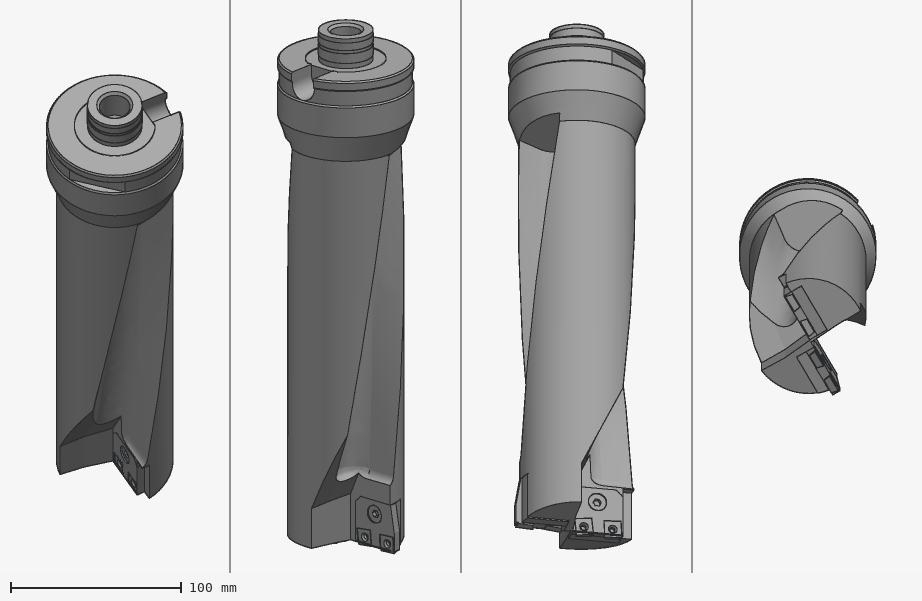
import cadquery as cq
import math

overall_length = 320.0
flange_top = 302.0
flange_bottom = 295.7
collar_top = 286.7
collar_bottom = 267.2
taper_bottom = 250.2
pocket_top = 30.7

collar_radius = 40.0
groove_radius = 39.0
rim_chamfer = 1.0
body_radius = 34.2
stub_radius = 32.3 / 2
stub_end_radius = 32.0 / 2
stub_groove_radius = 31.7 / 2
stub_land_bottom = 304.5
stub_land_top = 317.5
stub_groove_bottom = 310.7
stub_groove_top = 312.5
bore_radius = 9.0
bore_mouth_radius = 10.5
bore_mouth_depth = 1.5
bore_depth = 19.2
bore_point_angle = 118.0
recess_radius = 23.7
recess_depth = 0.5
key_slot_width = 17.0
key_slot_start = 20.8
key_slot_bottom = 286.7
side_flat_distance = 35.2
side_flat_angle = -45.0

ridge_level = 1.5
roof_rise = 4.0

front_flute_bottom = 31.7
rear_flute_bottom = 42.2
flute_top = 259.2
flute_twist_rate = 0.2719
flute_end_level = 244.5
flute_end_tilt = 13.5
flute_end_lean = 9.0
flute_end_radius = 6.5
front_flute_wall_outer = (-41.5, 2.2)
rear_flute_wall_outer = (-41.5, -1.3)
flute_wall_inner = (-20.5, 4.0)
flute_arc_middle = (-7.0, -1.0)
flute_floor_inner = (-5.8, -14.7)
front_flute_floor_outer = (-18.5, -36.8)
rear_flute_floor_outer = (-21.0, -35.5)

front_wall_slope = 0.49
rear_wall_slope = 0.42
pocket_bend = 18.0
front_floor = 0.0
front_relief_floor = 4.8
front_wall_inner = -2.4
front_wall_outer = -4.5
rear_floor = 0.0
rear_wall_inner = 3.8
rear_wall_outer = 3.0

cartridge_width = 30.0
cartridge_depth = 11.8
cartridge_bottom = 2.2
cartridge_lip_depth = 4.8
cartridge_chamfer = 4.0
front_cartridge_start = -2.2
rear_cartridge_start = 7.5
rear_taper_width = 3.0
rear_taper_height = 17.0
insert_size = 10.2
insert_depth = 4.0
insert_recess = 0.5
insert_relief = 10.0
insert_mouth_radius = 2.5
insert_hole_radius = 1.5
insert_mouth_depth = 1.3
insert_hole_depth = 3.2
inner_insert_offset = 6.7
inner_insert_tilt = 6.0
outer_insert_offset = 24.0
outer_insert_tilt = 3.0

screw_offset = 14.7
screw_level = 22.0
screw_head_radius = 5.5
screw_head_sink = 1.0
screw_head_height = 3.8
screw_shank_radius = 2.5
screw_length = 20.8
socket_size = 4.8
socket_depth = 2.5

clearance = 48.0
below_tip = -3.2


def turn(shape, angle):
    """Turn a shape about the drill axis."""
    return shape.rotate((0, 0, 0), (0, 0, 1), angle)


def half_turn(shape):
    return turn(shape, 180)


def extrude_back(profile, start, depth):
    """Extrude a profile given in X and Z from y = start toward +Y."""
    return profile.extrude(-depth).translate((0, start, 0))


def turned_blank():
    outline = [
        (0, 0),
        (body_radius, 0),
        (body_radius, taper_bottom),
        (collar_radius, collar_bottom),
        (collar_radius, collar_top - rim_chamfer),
        (groove_radius, collar_top),
        (groove_radius, flange_bottom),
        (collar_radius, flange_bottom + rim_chamfer),
        (collar_radius, flange_top - rim_chamfer),
        (collar_radius - rim_chamfer, flange_top),
        (stub_end_radius, flange_top),
        (stub_end_radius, stub_land_bottom),
        (stub_radius, stub_land_bottom),
        (stub_radius, stub_groove_bottom),
        (stub_groove_radius, stub_groove_bottom),
        (stub_groove_radius, stub_groove_top),
        (stub_radius, stub_groove_top),
        (stub_radius, stub_land_top),
        (stub_end_radius, stub_land_top),
        (stub_end_radius, overall_length),
        (0, overall_length),
    ]
    return cq.Workplane("XZ").polyline(outline).close().revolve()


def stub_bore():
    floor = overall_length - bore_depth
    point_depth = bore_radius / math.tan(math.radians(bore_point_angle / 2))
    outline = [
        (0, overall_length),
        (bore_mouth_radius, overall_length),
        (bore_radius, overall_length - bore_mouth_depth),
        (bore_radius, floor),
        (0, floor - point_depth),
    ]
    return cq.Workplane("XZ").polyline(outline).close().revolve()


def face_recess():
    """Shallow ring around the stub, cut straight where the key slot starts."""
    ring = (
        cq.Workplane("XY", origin=(0, 0, flange_top - recess_depth))
        .circle(recess_radius)
        .circle(stub_end_radius)
        .extrude(recess_depth)
    )
    beyond_slot_start = (
        cq.Workplane("XY", origin=(0, key_slot_start + clearance / 2, flange_top - recess_depth))
        .rect(2 * recess_radius, clearance)
        .extrude(recess_depth)
    )
    return ring.cut(beyond_slot_start)


def key_slot():
    """Slot with a half-round floor, open to the flange face and to the +Y side."""
    radius = key_slot_width / 2
    floor_axis = key_slot_bottom + radius
    profile = (
        cq.Workplane("XZ")
        .moveTo(-radius, flange_top)
        .lineTo(-radius, floor_axis)
        .threePointArc((0, key_slot_bottom), (radius, floor_axis))
        .lineTo(radius, flange_top)
        .close()
    )
    return extrude_back(profile, key_slot_start, clearance)


def side_flat():
    """Material removed by the flat on the groove floor."""
    beyond_flat = (
        cq.Workplane("XY", origin=(0, 0, collar_top))
        .center(side_flat_distance + clearance / 2, 0)
        .rect(clearance, 2 * collar_radius)
        .extrude(flange_bottom - collar_top)
    )
    return turn(beyond_flat, side_flat_angle)


def space_below_roof():
    edge_level = ridge_level + roof_rise
    return (
        cq.Workplane("YZ")
        .moveTo(-body_radius, edge_level)
        .lineTo(0, ridge_level)
        .lineTo(body_radius, edge_level)
        .lineTo(clearance, edge_level)
        .lineTo(clearance, below_tip)
        .lineTo(-clearance, below_tip)
        .lineTo(-clearance, edge_level)
        .close()
        .extrude(clearance, both=True)
    )


def flute(bottom, wall_outer, floor_outer):
    """Helical flute on the -X side with a rounded lower end and a top end square to its run."""
    height = flute_top - bottom
    twisted = (
        cq.Workplane("XY", origin=(0, 0, bottom))
        .moveTo(*wall_outer)
        .lineTo(*flute_wall_inner)
        .threePointArc(flute_arc_middle, flute_floor_inner)
        .lineTo(*floor_outer)
        .lineTo(wall_outer[0], floor_outer[1])
        .close()
        .twistExtrude(height, flute_twist_rate * height)
        .faces("<Z")
        .edges()
        .fillet(flute_end_radius)
        .rotate((0, 0, 0), (0, 0, 1), -flute_twist_rate * (taper_bottom - bottom))
    )
    above_end = (
        cq.Workplane("XY")
        .rect(4 * clearance, 4 * clearance)
        .extrude(clearance)
        .rotate((0, 0, 0), (1, 0, 0), -flute_end_tilt)
        .rotate((0, 0, 0), (0, 1, 0), flute_end_lean)
        .translate((0, 0, flute_end_level))
    )
    return twisted.cut(above_end)


def chip_pocket(floor, wall_inner, wall_outer, wall_slope):
    """Pocket open toward -Y and +X; its wall leans toward +X above the cartridge."""
    run_height = clearance / wall_slope

    def section(level, shift):
        return (
            cq.Workplane("XY", origin=(shift, 0, level))
            .moveTo(wall_inner, floor)
            .lineTo(wall_outer, -pocket_bend)
            .lineTo(wall_outer, -clearance)
            .lineTo(2 * clearance, -clearance)
            .lineTo(2 * clearance, floor)
            .close()
        )

    lower = section(below_tip, 0).extrude(pocket_top - below_tip)
    start = section(pocket_top, 0).wire().val()
    end = section(pocket_top + run_height, clearance).wire().val()
    return lower.union(cq.Workplane(cq.Solid.makeLoft([start, end], True)))


def front_relief():
    """Step that lowers the front pocket floor outside the cartridge."""
    inner_side = front_cartridge_start + cartridge_width
    return (
        cq.Workplane("XY")
        .center(inner_side + clearance / 2, front_relief_floor / 2)
        .rect(clearance, front_relief_floor)
        .extrude(front_flute_bottom)
    )


def cartridge_outline(start, corner_width, corner_height):
    """Face of a cartridge, with its own cut at the outer top corner."""
    end = start + cartridge_width
    return (
        cq.Workplane("XZ")
        .moveTo(start, cartridge_bottom)
        .lineTo(end, cartridge_bottom)
        .lineTo(end, pocket_top - corner_height)
        .lineTo(end - corner_width, pocket_top)
        .lineTo(start + cartridge_chamfer, pocket_top)
        .lineTo(start, pocket_top - cartridge_chamfer)
        .close()
    )


def cartridge_blank(start, corner_width, corner_height):
    """Full-depth block flush with the body, and a lip that may reach beyond it."""
    outline = cartridge_outline(start, corner_width, corner_height)
    lip = extrude_back(cq.Workplane("XZ").rect(4 * clearance, 4 * clearance), 0, cartridge_lip_depth)
    envelope = cq.Workplane("XY").circle(body_radius).extrude(pocket_top).union(lip)
    return extrude_back(outline, 0, cartridge_depth).intersect(envelope)


def insert_half_span(tilt):
    """Half the height of an insert turned by its tilt."""
    angle = math.radians(tilt)
    return insert_size / 2 * (math.cos(angle) + math.sin(angle))


def insert_hole(axis_x, level):
    """Blind countersunk hole along Y in the face of an insert."""
    mouth_end = insert_recess + insert_mouth_depth
    hole_end = insert_recess + insert_hole_depth
    return (
        cq.Workplane("XY", origin=(axis_x, 0, level))
        .moveTo(0, insert_recess)
        .lineTo(insert_mouth_radius, insert_recess)
        .lineTo(insert_hole_radius, mouth_end)
        .lineTo(insert_hole_radius, hole_end)
        .lineTo(0, hole_end)
        .close()
        .revolve(360, (0, 0, 0), (0, 1, 0))
    )


def cartridge(blank, start):
    """Cartridge facing -Y with two indexed inserts and a countersunk screw hole."""
    part = blank
    level = insert_half_span(inner_insert_tilt)
    inserts = [
        (inner_insert_offset, inner_insert_tilt),
        (outer_insert_offset, outer_insert_tilt),
    ]
    for offset, tilt in inserts:
        place = cq.Workplane("XZ", origin=(start + offset, 0, level)).transformed(rotate=(0, 0, tilt))
        seat = place.rect(insert_size, insert_size).extrude(-insert_recess)
        insert = (
            place.workplane(offset=-insert_recess)
            .rect(insert_size, insert_size)
            .extrude(-insert_depth, taper=insert_relief)
        )
        part = part.cut(seat).union(insert).cut(insert_hole(start + offset, level))
    return part.cut(screw_space(start))


def screw_space(start):
    """Countersunk screw hole along Y, open at the cartridge face."""
    return (
        cq.Workplane("XY", origin=(start + screw_offset, 0, screw_level))
        .lineTo(screw_head_radius, 0)
        .lineTo(screw_head_radius, screw_head_sink)
        .lineTo(screw_shank_radius, screw_head_sink + screw_head_height)
        .lineTo(screw_shank_radius, screw_length)
        .lineTo(0, screw_length)
        .close()
        .revolve(360, (0, 0, 0), (0, 1, 0))
    )


def clamping_screw(start):
    """Screw that fills its hole up to the sunk head face, with a hexagon socket."""
    head = cq.Workplane("XZ", origin=(start + screw_offset, 0, screw_level))
    sink = head.circle(screw_head_radius).extrude(-screw_head_sink)
    socket = head.polygon(6, socket_size).extrude(-screw_head_sink - socket_depth)
    return screw_space(start).cut(sink).cut(socket)


front_blank = cartridge_blank(front_cartridge_start, cartridge_chamfer, cartridge_chamfer)
rear_blank = cartridge_blank(rear_cartridge_start, rear_taper_width, rear_taper_height)
cartridges = []
screws = []
seat_cuts = []
for blank, start, angle in [
    (front_blank, front_cartridge_start, 0),
    (rear_blank, rear_cartridge_start, 180),
]:
    cartridges.append(turn(cartridge(blank, start), angle))
    screws.append(turn(clamping_screw(start), angle))
    seat_cuts.append(turn(blank, angle))
    seat_cuts.append(turn(screw_space(start), angle))

front_pocket = chip_pocket(front_floor, front_wall_inner, front_wall_outer, front_wall_slope)
rear_pocket = half_turn(chip_pocket(rear_floor, rear_wall_inner, rear_wall_outer, rear_wall_slope))
body_cuts = [
    stub_bore(),
    face_recess(),
    key_slot(),
    side_flat(),
    space_below_roof(),
    flute(rear_flute_bottom, rear_flute_wall_outer, rear_flute_floor_outer),
    half_turn(flute(front_flute_bottom, front_flute_wall_outer, front_flute_floor_outer)),
    front_pocket,
    front_relief(),
    rear_pocket,
    *seat_cuts,
    *cartridges,
]
drill_body = turned_blank()
for cut in body_cuts:
    drill_body = drill_body.cut(cut)

bodies = [drill_body, *cartridges, *screws]
result = cq.Compound.makeCompound([body.solids().val() for body in bodies])